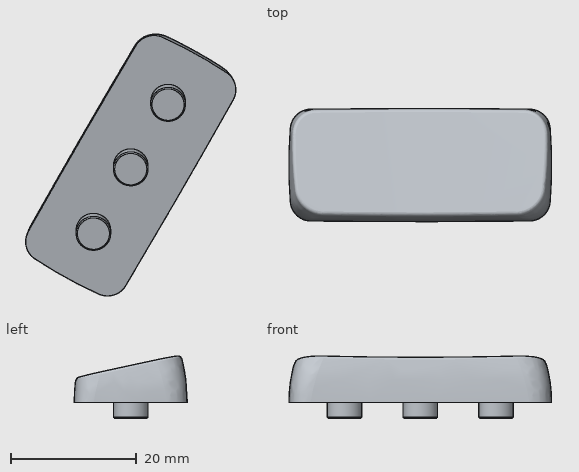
import cadquery as cq
import math

LENGTH = 41.8
WIDTH = 18.0

LONG_SIDE_RADIUS = 1463.35
SHORT_SIDE_RADIUS = 71.08
BASE_CORNER_RADIUS = 3.35
CORNER_GROWTH = 0.15

END_INSET_RATE = 0.02272
SIDE_INSET_RATE = 0.01794
SECTION_HEIGHTS = (0.0, 4.2, 8.35)

TOP_SLOPE = 12.3
TOP_CENTRE_HEIGHT = 5.55
DISH_RADIUS = 543.55
RIM_FILLET = 0.55

PIN_DIAMETER = 5.5
PIN_LENGTH = 2.5
PIN_SPACING = 12.05
PIN_CHAMFER = 0.2


def point_from(centre, toward, distance):
    """Point at a distance from centre, in the direction of another point."""
    angle = math.atan2(toward[1] - centre[1], toward[0] - centre[0])
    return (centre[0] + distance * math.cos(angle), centre[1] + distance * math.sin(angle))


def corner_centre(long_centre_y, short_centre_x, corner_radius):
    """Centre of the corner arc that touches the long and the short side arcs from inside."""
    reach_long = LONG_SIDE_RADIUS - corner_radius
    reach_short = SHORT_SIDE_RADIUS - corner_radius
    span = math.hypot(short_centre_x, long_centre_y)
    along = (reach_long**2 - reach_short**2 + span**2) / (2 * span)
    across = math.sqrt(reach_long**2 - along**2)
    direction_x = short_centre_x / span
    direction_y = -long_centre_y / span
    return (along * direction_x + across * direction_y,
            long_centre_y + along * direction_y - across * direction_x)


def outline(height):
    """Closed outline of the cap at a height: four bowed sides joined by tangent corner arcs."""
    half_length = LENGTH / 2 - END_INSET_RATE * height**2
    half_width = WIDTH / 2 - SIDE_INSET_RATE * height**2
    radius = BASE_CORNER_RADIUS + CORNER_GROWTH * height

    long_centre = (0.0, half_width - LONG_SIDE_RADIUS)
    short_centre = (half_length - SHORT_SIDE_RADIUS, 0.0)
    centre = corner_centre(long_centre[1], short_centre[0], radius)

    long_x, long_y = point_from(long_centre, centre, LONG_SIDE_RADIUS)
    short_x, short_y = point_from(short_centre, centre, SHORT_SIDE_RADIUS)
    middle_x = centre[0] + radius * math.cos(math.pi / 4)
    middle_y = centre[1] + radius * math.sin(math.pi / 4)

    return (
        cq.Workplane("XY", origin=(0, 0, height))
        .moveTo(-long_x, long_y)
        .threePointArc((0, half_width), (long_x, long_y))
        .threePointArc((middle_x, middle_y), (short_x, short_y))
        .threePointArc((half_length, 0), (short_x, -short_y))
        .threePointArc((middle_x, -middle_y), (long_x, -long_y))
        .threePointArc((0, -half_width), (-long_x, -long_y))
        .threePointArc((-middle_x, -middle_y), (-short_x, -short_y))
        .threePointArc((-half_length, 0), (-short_x, short_y))
        .threePointArc((-middle_x, middle_y), (-long_x, long_y))
        .close()
        .wires()
        .val()
    )


def top_cutter():
    """Block above the sloped top, with a convex underside that leaves the dish."""
    half_span = 0.6 * LENGTH
    rise = DISH_RADIUS - math.sqrt(DISH_RADIUS**2 - half_span**2)
    block_height = 12.55
    block_depth = 2 * WIDTH
    return (
        cq.Workplane("XZ")
        .moveTo(-half_span, rise)
        .threePointArc((0, 0), (half_span, rise))
        .lineTo(half_span, block_height)
        .lineTo(-half_span, block_height)
        .close()
        .extrude(block_depth / 2, both=True)
        .rotate((0, 0, 0), (1, 0, 0), -TOP_SLOPE)
        .translate((0, 0, TOP_CENTRE_HEIGHT))
    )


def cap():
    """Tapered cap with a sloped, dished top and a rounded rim."""
    sections = [outline(height) for height in SECTION_HEIGHTS]
    flanks = cq.Workplane(cq.Solid.makeLoft(sections))
    return flanks.cut(top_cutter()).faces(">Z").edges().fillet(RIM_FILLET)


def pins():
    """Row of three round pins, one at the centre, chamfered at the free end."""
    return (
        cq.Workplane("XY")
        .pushPoints([(side * PIN_SPACING, 0) for side in (-1, 0, 1)])
        .circle(PIN_DIAMETER / 2)
        .extrude(-PIN_LENGTH)
        .faces("<Z")
        .chamfer(PIN_CHAMFER)
    )


result = cap().union(pins())